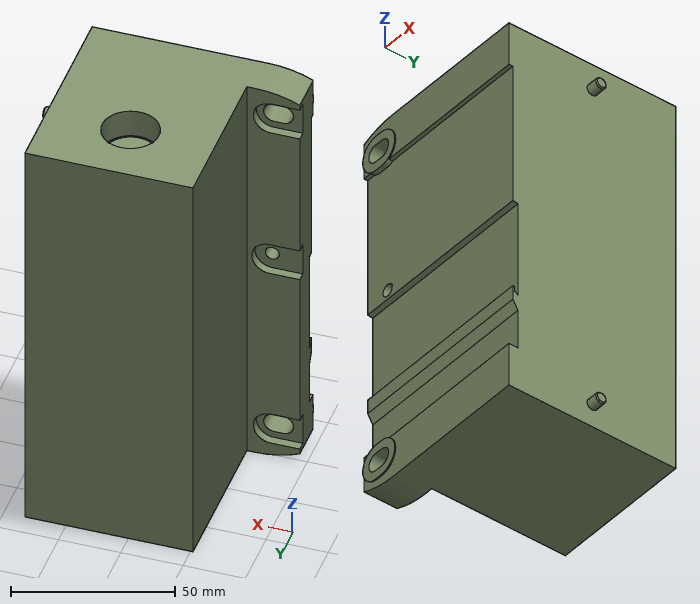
import cadquery as cq
import math

height = 142.0
right_side = 71.0
foot_thickness = 12.95
block_left = 17.0
block_back = 65.0

corner_length = 14.0
corner_drop = 3.0
corner_radius = (corner_length**2 + corner_drop**2) / (2 * corner_drop)

end_pad_height = 16.3
shallow_recess = 1.5
deep_recess = 3.5
step_z_front = 73.1
step_z_back = 72.8

hook_bottom = 31.0
hook_slope_top = 34.4
hook_root = 37.1
hook_tip = 39.7
hook_lip_bottom = 37.9
hook_lip_thickness = 0.7

mount_x = 7.8
mount_end_distance = 10.5
mount_zs = (mount_end_distance, height - mount_end_distance)
slot_straight = 3.0
slot_width = 6.6
pad_straight = 2.4
pad_width = 13.3
pad_rise = 0.4
pilot_x = 9.8
pilot_z = 76.6
pilot_diameter = 4.5
pocket_width = 11.2
pocket_depth = 2.95

port_x = (block_left + right_side) / 2
port_y = 44.1
port_mouth_diameter = 18.2
port_inner_diameter = 17.9
port_depth = 9.4
port_seat_diameter = 17.2
port_seat_depth = 0.3

stud_base_diameter = 4.13
stud_end_diameter = 4.0
stud_tip_diameter = 3.24
stud_length = 4.55
stud_chamfer = (stud_end_diameter - stud_tip_diameter) / 2
stud_y = 32.5
stud_zs = (8.65, 132.0)


def front_plane(y):
    """XZ plane at the given Y; its extrusions run toward -Y."""
    return cq.Workplane("XZ", origin=(0, y, 0))


def make_foot():
    arc_mid_angle = math.asin(corner_length / corner_radius) / 2
    mid_x = corner_length - corner_radius * math.sin(arc_mid_angle)
    mid_drop = corner_radius * (1 - math.cos(arc_mid_angle))
    return (
        front_plane(foot_thickness)
        .moveTo(right_side, 0)
        .lineTo(right_side, height)
        .lineTo(corner_length, height)
        .threePointArc((mid_x, height - mid_drop), (0, height - corner_drop))
        .lineTo(0, corner_drop)
        .threePointArc((mid_x, mid_drop), (corner_length, 0))
        .close()
        .extrude(foot_thickness)
    )


def make_block():
    block = cq.Workplane("XY").box(right_side - block_left, block_back, height, centered=False)
    return block.translate((block_left, 0, 0))


def make_front_recess():
    """Material removed from the front face, leaving the rail hook standing."""
    lip_back = shallow_recess + hook_lip_thickness
    profile = [
        (0, end_pad_height),
        (deep_recess, end_pad_height),
        (deep_recess, hook_bottom),
        (shallow_recess, hook_slope_top),
        (shallow_recess, hook_tip),
        (lip_back, hook_tip),
        (lip_back, hook_lip_bottom),
        (deep_recess, hook_root),
        (deep_recess, step_z_back),
        (shallow_recess, step_z_front),
        (shallow_recess, height - end_pad_height),
        (0, height - end_pad_height),
    ]
    return cq.Workplane("YZ").polyline(profile).close().extrude(right_side)


def make_oblong(z, straight, width, y_back, depth):
    """Oblong prism at a mounting position, from y_back toward -Y."""
    return (
        front_plane(y_back)
        .center(mount_x, z)
        .slot2D(straight + width, width)
        .extrude(depth)
    )


def make_pad(z):
    """Raised pad around a mounting slot, trimmed flush with the foot's left edge."""
    pad_depth = deep_recess + pad_rise
    pad = make_oblong(z, pad_straight, pad_width, deep_recess, pad_depth)
    overhang = (
        front_plane(deep_recess)
        .center(-pad_width / 2, z)
        .rect(pad_width, pad_width)
        .extrude(pad_depth)
    )
    return pad.cut(overhang)


def make_slot(z):
    """Mounting slot cutter through the foot and its raised pad."""
    return make_oblong(z, slot_straight, slot_width, foot_thickness, foot_thickness + pad_rise)


def make_pilot_hole():
    return (
        front_plane(foot_thickness)
        .center(pilot_x, pilot_z)
        .circle(pilot_diameter / 2)
        .extrude(foot_thickness)
    )


def make_pocket(x, z):
    """Round-ended pocket in the back of the foot, open at its left edge."""
    bar = front_plane(foot_thickness).center(x / 2, z).rect(x, pocket_width).extrude(pocket_depth)
    end = front_plane(foot_thickness).center(x, z).circle(pocket_width / 2).extrude(pocket_depth)
    return bar.union(end)


def make_port():
    """Port cutter, revolved from its half profile about the bore axis."""
    floor_depth = port_depth + port_seat_depth
    half_profile = [
        (0, 0),
        (port_mouth_diameter / 2, 0),
        (port_inner_diameter / 2, -port_depth),
        (port_seat_diameter / 2, -port_depth),
        (port_seat_diameter / 2, -floor_depth),
        (0, -floor_depth),
    ]
    cutter = cq.Workplane("XZ").polyline(half_profile).close().revolve(360, (0, 0), (0, 1))
    return cutter.translate((port_x, port_y, height))


def make_stud(z):
    """Stud revolved from its half profile about an axis along X."""
    half_profile = [
        (0, 0),
        (0, stud_base_diameter / 2),
        (stud_length - stud_chamfer, stud_end_diameter / 2),
        (stud_length, stud_tip_diameter / 2),
        (stud_length, 0),
    ]
    stud = cq.Workplane("XY").polyline(half_profile).close().revolve(360, (0, 0), (1, 0))
    return stud.translate((right_side, stud_y, z))


result = make_foot().union(make_block()).cut(make_front_recess())

for mount_z in mount_zs:
    result = result.union(make_pad(mount_z))
for mount_z in mount_zs:
    result = result.cut(make_slot(mount_z))
    result = result.cut(make_pocket(mount_x + slot_straight / 2, mount_z))

result = result.cut(make_pilot_hole())
result = result.cut(make_pocket(pilot_x, pilot_z))

result = result.cut(make_port())

for stud_z in stud_zs:
    result = result.union(make_stud(stud_z))